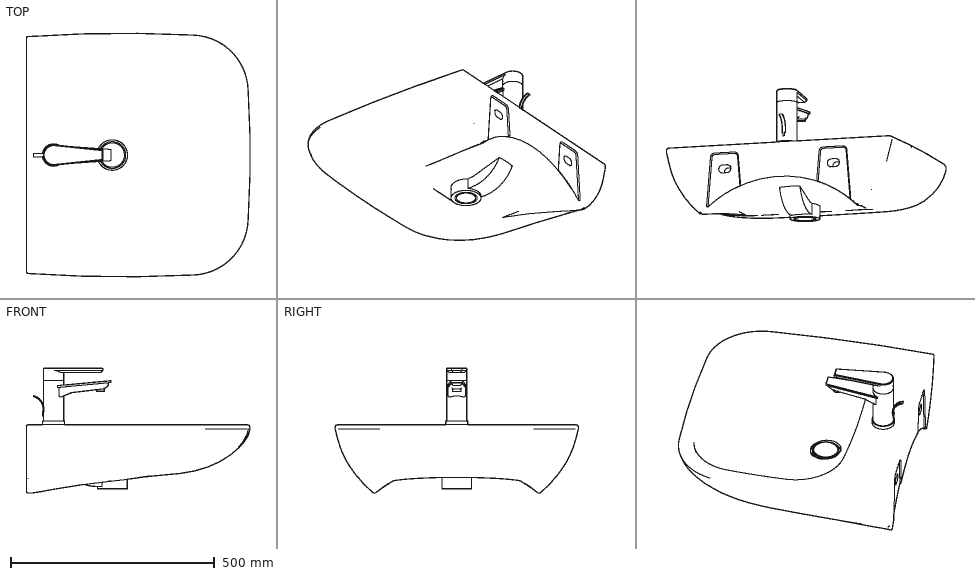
import cadquery as cq
import math


BASIN_LENGTH = 549.0
BASIN_HALF_WIDTH = 299.0
RIM_HEIGHT = 10.0
RIM_FILLET = 7.0
BACK_EDGE_FILLET = 4.0

WALL_CORNER_Y = 291.0
SIDE_CROWN_X = 221.5
SIDE_END = (407.0, 295.0)
CORNER_MID = (509.5, 247.0)
FRONT_END = (544.5, 157.0)

SHELL_BOTTOM = 168.0
FRONT_PINCH = 0.1

BELLY_SECTION = (131.5, 269.0, 245.0)
SHELL_SECTIONS = [
    (RIM_HEIGHT, BASIN_LENGTH, BASIN_HALF_WIDTH),
    (42.0, 535.0, 291.5),
    (72.0, 504.5, 282.0),
    (101.5, 451.5, 267.0),
    (119.5, 380.0, 255.0),
    BELLY_SECTION,
]
FOOT_SECTIONS = [BELLY_SECTION, (146.5, 149.5, 233.5), (SHELL_BOTTOM, 27.0, 210.5)]

BOWL_BACK_X = 127.5
BOWL_BACK_END = (134.0, 151.0)
BOWL_BACK_CORNER_MID = (170.5, 228.5)
BOWL_SIDE_START = (247.0, 263.0)
BOWL_SIDE_MID = (329.0, 262.5)
BOWL_SIDE_END = (408.0, 258.0)
BOWL_FRONT_CORNER_MID = (474.5, 225.0)
BOWL_FRONT_END = (507.5, 146.5)
BOWL_FRONT_X = 512.0
BOWL_DEPTH = 113.5
BOWL_LIP_RADIUS = 6.0
BOWL_RING_SCALES = [1.0, 0.97, 0.9, 0.78, 0.62, 0.42, 0.1]
BOWL_FULLNESS = 2.4

ARCH_RADIUS = 285.0
ARCH_CROWN = 85.5
ARCH_SHOULDER_Y = 155.5
ARCH_FOOT_Y = 239.0
ARCH_SECTIONS = [(0.0, ARCH_CROWN, 0.0), (72.0, 91.5, 3.0), (167.5, 122.5, 6.0), (275.0, 129.0, 6.0)]

PAD_Y = 140.0
PAD_TOP = 20.0
PAD_BOTTOM = 173.5
PAD_TOP_HALF_WIDTH = 36.0
PAD_BOTTOM_HALF_WIDTH = 48.0
PAD_CORNER_RADIUS = 11.0
PAD_RECESS = 3.0
PAD_WALL_ANGLE = 45.0
SLOT_LENGTH = 31.0
SLOT_HEIGHT = 20.0
SLOT_DEPTH = 48.0
SLOT_Z = -60.0

DRAIN_X = 210.5
BOSS_DIAMETER = 73.5
BOSS_BOTTOM = 157.5
DRAIN_SEAT_DIAMETER = 75.0
DRAIN_SEAT_DEPTH = 116.5
DRAIN_FLANGE_DIAMETER = 66.0
DRAIN_FLANGE_TOP = 112.0
DRAIN_TUBE_DIAMETER = 55.0
DRAIN_BORE = 47.0
PLUG_DIAMETER = 60.0
PLUG_RIM = 2.5
PLUG_DOME = 5.0
PLUG_EDGE_SLOPE = 0.4

CHANNEL_WIDTH = 52.5
CHANNEL_TOP = (84.0, -87.0)
CHANNEL_MID = (110.5, -128.5)
CHANNEL_BOTTOM = (182.5, -151.5)

FAUCET_X = 66.5
ESCUTCHEON_DIAMETER = 55.0
ESCUTCHEON_HEIGHT = 9.0
FAUCET_DIAMETER = 50.0
FAUCET_TOP = 109.0
LEVER_TOP = 139.5
LEVER_BOTTOM = 128.0
LEVER_TIP_X = 187.0
LEVER_TIP_HALF_WIDTH = 12.5
LEVER_EDGE = 2.0
LEVER_UNDERSIDE_BEVEL = 5.0

SPOUT_ROOT_TOP = (73.0, 96.0)
SPOUT_TIP_TOP = (207.5, 108.0)
SPOUT_SLAB = 5.0
SPOUT_NOSE = (201.0, 96.0)
SPOUT_LIP = (191.5, 88.0)
SPOUT_KNEE = (110.5, 78.5)
SPOUT_ROOT_BOTTOM = (80.0, 66.0)
SPOUT_ROOT_HALF_WIDTH = 23.5
SPOUT_TIP_HALF_WIDTH = 14.0
SPOUT_INSET = 2.0
SPOUT_UNDERSIDE_FILLET = 5.5
AERATOR_X = 181.0
AERATOR_DIAMETER = 20.0
AERATOR_BOTTOM = 82.0
AERATOR_TOP = 91.0

PULL_WIDTH = 8.5
PULL_TAIL_WIDTH = 4.0
PULL_THICKNESS = 2.5
PULL_TIP = (18.0, 70.0)
PULL_BEND = (34.5, 58.5)
PULL_FOOT = (40.5, 30.0)
PULL_TAIL_Z = 21.5


def cylinder(x, diameter, bottom, top):
    """Upright cylinder on the symmetry plane."""
    return cq.Workplane("XY", origin=(x, 0, bottom)).circle(diameter / 2).extrude(top - bottom)


def mirrored(point):
    return (point[0], -point[1])


def outer_wire(length, half_width, depth):
    """Plan outline of the basin, stretched to a length and half width and narrowed frontward with depth."""
    x_scale = length / BASIN_LENGTH
    y_scale = half_width / BASIN_HALF_WIDTH
    pinch = FRONT_PINCH * (depth / SHELL_BOTTOM) ** 2

    def place(point):
        return (point[0] * x_scale, point[1] * y_scale * (1 - pinch * point[0] / BASIN_LENGTH))

    wall, crown = (0, WALL_CORNER_Y), (SIDE_CROWN_X, BASIN_HALF_WIDTH)
    return (
        cq.Workplane("XY", origin=(0, 0, -depth))
        .moveTo(*place(wall))
        .threePointArc(place(crown), place(SIDE_END))
        .threePointArc(place(CORNER_MID), place(FRONT_END))
        .threePointArc(place((BASIN_LENGTH, 0)), place(mirrored(FRONT_END)))
        .threePointArc(place(mirrored(CORNER_MID)), place(mirrored(SIDE_END)))
        .threePointArc(place(mirrored(crown)), place(mirrored(wall)))
        .close()
    )


def bowl_wire(scale, depth):
    """Bowl outline shrunk toward the drain."""

    def place(point):
        return (DRAIN_X + (point[0] - DRAIN_X) * scale, point[1] * scale)

    def other(point):
        return place(mirrored(point))

    return (
        cq.Workplane("XY", origin=(0, 0, -depth))
        .moveTo(*other(BOWL_BACK_END))
        .threePointArc(place((BOWL_BACK_X, 0)), place(BOWL_BACK_END))
        .threePointArc(place(BOWL_BACK_CORNER_MID), place(BOWL_SIDE_START))
        .threePointArc(place(BOWL_SIDE_MID), place(BOWL_SIDE_END))
        .threePointArc(place(BOWL_FRONT_CORNER_MID), place(BOWL_FRONT_END))
        .threePointArc(place((BOWL_FRONT_X, 0)), other(BOWL_FRONT_END))
        .threePointArc(other(BOWL_FRONT_CORNER_MID), other(BOWL_SIDE_END))
        .threePointArc(other(BOWL_SIDE_MID), other(BOWL_SIDE_START))
        .threePointArc(other(BOWL_BACK_CORNER_MID), other(BOWL_BACK_END))
        .close()
    )


def loft(outlines, ruled=False):
    """Solid through a list of closed outlines."""
    return cq.Workplane(cq.Solid.makeLoft([o.wire().val() for o in outlines], ruled))


def make_shell():
    """Outside of the basin before anything is cut away."""
    rim = outer_wire(BASIN_LENGTH, BASIN_HALF_WIDTH, RIM_HEIGHT).extrude(RIM_HEIGHT)
    rim = rim.faces(">Z").edges("not <X").fillet(RIM_FILLET)
    belly = loft([outer_wire(length, half, depth) for depth, length, half in SHELL_SECTIONS])
    feet = loft([outer_wire(length, half, depth) for depth, length, half in FOOT_SECTIONS], ruled=True)
    return rim.union(belly).union(feet)


def make_bowl():
    """Hollow of the bowl: rings shrinking toward the drain, flaring at the lip."""
    rings = []
    for scale in BOWL_RING_SCALES:
        drop = (1 - scale**BOWL_FULLNESS) ** (1 / BOWL_FULLNESS)
        rings.append(bowl_wire(scale, BOWL_DEPTH * drop))
    return loft(rings)


def arch_point(y, sink):
    """Point of the round arch, lowered from where it meets the wall face."""
    return (y, math.sqrt(ARCH_RADIUS**2 - y**2) - ARCH_RADIUS - ARCH_CROWN - sink)


def make_arch():
    """Space under the back of the basin: round at the wall, its crown sinking toward the front."""
    middle = (ARCH_SHOULDER_Y + ARCH_FOOT_Y) / 2
    sections = []
    for x, crown, sink in ARCH_SECTIONS:
        sections.append(
            cq.Workplane("YZ", origin=(x, 0, 0))
            .moveTo(*arch_point(-ARCH_FOOT_Y, sink))
            .threePointArc(arch_point(-middle, sink), arch_point(-ARCH_SHOULDER_Y, sink))
            .threePointArc((0, -crown), arch_point(ARCH_SHOULDER_Y, sink))
            .threePointArc(arch_point(middle, sink), arch_point(ARCH_FOOT_Y, sink))
            .close()
        )
    return loft(sections, ruled=True)


def make_pad_cut(side):
    """Shallow recess in the wall face, narrowing upward, with a blind mounting slot."""
    top_half = PAD_TOP_HALF_WIDTH - PAD_CORNER_RADIUS
    bottom_half = PAD_BOTTOM_HALF_WIDTH - PAD_CORNER_RADIUS
    corner_z = -PAD_TOP - PAD_CORNER_RADIUS
    pad = (
        cq.Workplane("YZ", origin=(0, side * PAD_Y, 0))
        .moveTo(-top_half, corner_z)
        .lineTo(top_half, corner_z)
        .lineTo(bottom_half, -PAD_BOTTOM)
        .lineTo(-bottom_half, -PAD_BOTTOM)
        .close()
        .offset2D(PAD_CORNER_RADIUS)
        .extrude(PAD_RECESS, taper=PAD_WALL_ANGLE)
    )
    slot = (
        cq.Workplane("YZ", origin=(0, side * PAD_Y, SLOT_Z))
        .slot2D(SLOT_LENGTH, SLOT_HEIGHT)
        .extrude(SLOT_DEPTH)
    )
    return pad.union(slot)


def make_channel():
    """Rounded overflow channel running from the back of the bowl to the drain boss."""
    return (
        cq.Workplane("XZ")
        .moveTo(*CHANNEL_TOP)
        .threePointArc(CHANNEL_MID, CHANNEL_BOTTOM)
        .lineTo(DRAIN_X, CHANNEL_BOTTOM[1])
        .lineTo(DRAIN_X, CHANNEL_TOP[1])
        .close()
        .extrude(CHANNEL_WIDTH / 2, both=True)
    )


def bowl_lip():
    """Selector of the bowl edges in the rim plane."""
    margin = BOWL_LIP_RADIUS / 2
    half_width = BOWL_SIDE_START[1] + margin
    return cq.selectors.BoxSelector(
        (BOWL_BACK_X - margin, -half_width, -margin), (BOWL_FRONT_X + margin, half_width, margin)
    )


def make_basin():
    basin = make_shell().cut(make_arch())
    basin = basin.faces("<X").edges().fillet(BACK_EDGE_FILLET)
    basin = basin.union(make_channel())
    basin = basin.union(cylinder(DRAIN_X, BOSS_DIAMETER, -BOSS_BOTTOM, -BOWL_DEPTH))
    basin = basin.cut(make_bowl())
    basin = basin.edges(bowl_lip()).fillet(BOWL_LIP_RADIUS)
    basin = basin.cut(cylinder(DRAIN_X, DRAIN_SEAT_DIAMETER, -DRAIN_SEAT_DEPTH, -BOWL_DEPTH / 2))
    basin = basin.cut(cylinder(DRAIN_X, DRAIN_TUBE_DIAMETER, -BOSS_BOTTOM, -DRAIN_SEAT_DEPTH))
    for side in (-1, 1):
        basin = basin.cut(make_pad_cut(side))
    return basin


def make_drain():
    """Flanged waste tube seated in the bowl."""
    flange = cylinder(DRAIN_X, DRAIN_FLANGE_DIAMETER, -DRAIN_SEAT_DEPTH, -DRAIN_FLANGE_TOP)
    tube = cylinder(DRAIN_X, DRAIN_TUBE_DIAMETER, -BOSS_BOTTOM, -DRAIN_SEAT_DEPTH)
    bore = cylinder(DRAIN_X, DRAIN_BORE, -BOSS_BOTTOM, -DRAIN_FLANGE_TOP)
    return flange.union(tube).cut(bore)


def make_plug():
    """Domed stopper resting on the drain flange."""
    return (
        cq.Workplane("XZ", origin=(DRAIN_X, 0, -DRAIN_FLANGE_TOP))
        .lineTo(PLUG_DIAMETER / 2, 0)
        .lineTo(PLUG_DIAMETER / 2, PLUG_RIM)
        .spline([(0, PLUG_RIM + PLUG_DOME)], tangents=[(-1, PLUG_EDGE_SLOPE), (-1, 0)], includeCurrent=True)
        .close()
        .revolve(360, (0, 0, 0), (0, 1, 0))
    )


def make_escutcheon():
    return cylinder(FAUCET_X, ESCUTCHEON_DIAMETER, 0, ESCUTCHEON_HEIGHT)


def tapered_bar(root_x, root_half_width, tip_x, tip_half_width, bottom, top):
    """Flat bar along X that narrows toward its tip."""
    return (
        cq.Workplane("XY", origin=(0, 0, bottom))
        .moveTo(root_x, -root_half_width)
        .lineTo(tip_x, -tip_half_width)
        .lineTo(tip_x, tip_half_width)
        .lineTo(root_x, root_half_width)
        .close()
        .extrude(top - bottom)
    )


def spout_side(points):
    """Side profile of part of the spout, wider than the spout itself."""
    return cq.Workplane("XZ").polyline(points).close().extrude(FAUCET_DIAMETER, both=True)


def spout_plan(tip_x, inset):
    """Tapered plan of the spout, from below it to above it."""
    root_half = SPOUT_ROOT_HALF_WIDTH - inset
    tip_half = SPOUT_TIP_HALF_WIDTH - inset
    return tapered_bar(SPOUT_ROOT_TOP[0], root_half, tip_x, tip_half, 0, LEVER_TOP)


def make_spout():
    """Rising spout: a top slab over a slightly narrower rounded underside."""
    root_x, root_top = SPOUT_ROOT_TOP
    tip_x, tip_top = SPOUT_TIP_TOP
    root_joint = (root_x, root_top - SPOUT_SLAB)
    tip_joint = (tip_x, tip_top - SPOUT_SLAB)
    slope = (tip_top - root_top) / (tip_x - root_x)
    nose_joint = (SPOUT_NOSE[0], root_joint[1] + slope * (SPOUT_NOSE[0] - root_x))

    slab = spout_side([SPOUT_ROOT_TOP, SPOUT_TIP_TOP, tip_joint, root_joint])
    slab = slab.intersect(spout_plan(tip_x, 0))

    root_foot = (root_x, SPOUT_ROOT_BOTTOM[1])
    underside = spout_side(
        [root_joint, nose_joint, SPOUT_NOSE, SPOUT_LIP, SPOUT_KNEE, SPOUT_ROOT_BOTTOM, root_foot]
    )
    underside = underside.intersect(spout_plan(SPOUT_NOSE[0], SPOUT_INSET))
    below_nose = cq.selectors.BoxSelector(
        (0, -FAUCET_DIAMETER, 0), (tip_x, FAUCET_DIAMETER, SPOUT_NOSE[1] - SPOUT_SLAB / 2)
    )
    underside = underside.edges(below_nose).edges("not(|Y or |Z)").fillet(SPOUT_UNDERSIDE_FILLET)
    return slab.union(underside)


def make_faucet():
    """Upright column with its spout, relieved for the aerator and the pull."""
    column = cylinder(FAUCET_X, FAUCET_DIAMETER, ESCUTCHEON_HEIGHT, FAUCET_TOP)
    return column.union(make_spout()).cut(make_aerator()).cut(make_pull())


def make_lever():
    """Round cap that carries the flat lever, whose sides leave the cap tangentially."""
    radius = FAUCET_DIAMETER / 2
    reach = LEVER_TIP_X - FAUCET_X
    tip_distance = math.hypot(reach, LEVER_TIP_HALF_WIDTH)
    tangent = math.atan2(LEVER_TIP_HALF_WIDTH, reach) + math.acos(radius / tip_distance)
    root_x = FAUCET_X + radius * math.cos(tangent)
    root_half = radius * math.sin(tangent)
    cap = cylinder(FAUCET_X, FAUCET_DIAMETER, FAUCET_TOP, LEVER_TOP)
    bar = tapered_bar(root_x, root_half, LEVER_TIP_X, LEVER_TIP_HALF_WIDTH, LEVER_BOTTOM, LEVER_TOP)
    bar = bar.faces("<Z").edges().chamfer(LEVER_UNDERSIDE_BEVEL)
    return cap.union(bar).faces(">Z").edges().chamfer(LEVER_EDGE)


def make_aerator():
    return cylinder(AERATOR_X, AERATOR_DIAMETER, AERATOR_BOTTOM, AERATOR_TOP)


def make_pull():
    """Curved pop-up strap with a narrower straight tail against the column."""
    strap = (
        cq.Workplane("XZ")
        .moveTo(*PULL_FOOT)
        .threePointArc(PULL_BEND, PULL_TIP)
        .offset2D(PULL_THICKNESS / 2)
        .extrude(PULL_WIDTH / 2, both=True)
    )
    tail = cq.Workplane("XY", origin=(PULL_FOOT[0], 0, PULL_TAIL_Z)).rect(PULL_THICKNESS, PULL_TAIL_WIDTH)
    return strap.union(tail.extrude(PULL_FOOT[1] - PULL_TAIL_Z))


basin = make_basin()
drain = make_drain()
plug = make_plug()
escutcheon = make_escutcheon()
faucet = make_faucet()
lever = make_lever()
aerator = make_aerator()
pull = make_pull()

bodies = [basin, drain, plug, escutcheon, faucet, lever, aerator, pull]
result = cq.Compound.makeCompound([body.solids().val() for body in bodies])